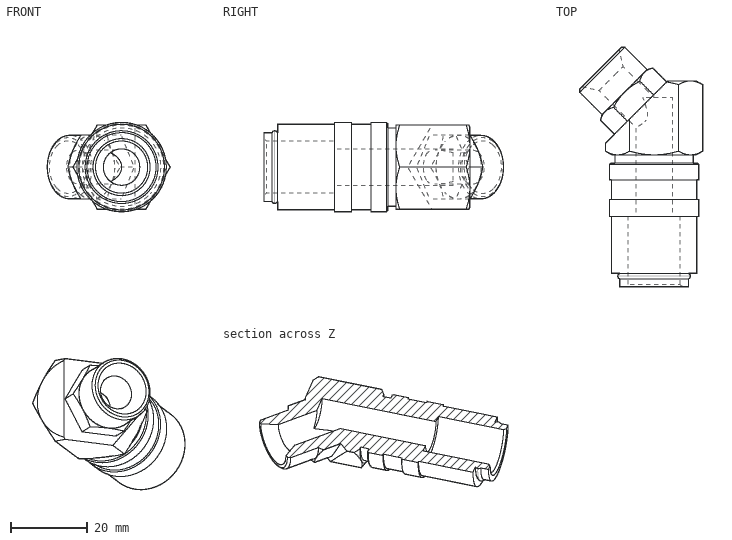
import cadquery as cq
import math

nose_radius = 9.05
ring_radius = 9.55
ring_section_radius = 0.75
sleeve_radius = 11.25
sleeve_start = 3.6
ring_y = sleeve_start - ring_section_radius
collar_radius = 11.75
front_collar_start = 18.45
front_collar_end = 23.0
rear_collar_start = 28.05
rear_collar_end = 32.45
collar_chamfer = 0.4
neck_radius = 10.3

hex_start = 34.6
hex_end = 54.0
hex_flats = 22.1

elbow_y = 43.3
branch_angle = 45
seat_distance = 5.0
branch_hex_end = 10.9
branch_hex_flats = 16.8
branch_end = 19.85
branch_radius = 8.35
branch_chamfer = 0.6

socket_bore_radius = 6.85
socket_bore_depth = front_collar_start
mouth_chamfer = 0.6
passage_radius = 4.8
passage_end = elbow_y + 6.3
branch_bore_radius = 4.45
cone_mouth_radius = 6.9
cone_depth = 3.9

corner_bevel_angle = 30


def cylinder(radius, start, end):
    """Cylinder along +Y between two stations."""
    return cq.Workplane("XZ", origin=(0, start, 0)).circle(radius).extrude(start - end)


def revolve_about_y(points):
    """Turn a closed (radius, Y) outline about the Y axis."""
    return cq.Workplane("XY").polyline(points).close().revolve(360, (0, 0, 0), (0, 1, 0))


def beveled_hex(flats, start, end, bevel_start):
    """Hexagon along +Y; its corners are turned off conically at the far end and, optionally, the near end."""
    apothem = flats / 2
    corner_radius = apothem / math.cos(math.pi / 6)
    bevel_length = (corner_radius - apothem) * math.tan(math.radians(corner_bevel_angle))
    prism = cq.Workplane("XZ", origin=(0, start, 0)).polygon(6, 2 * corner_radius).extrude(start - end)
    near_end = [(corner_radius, start)]
    if bevel_start:
        near_end = [(apothem, start), (corner_radius, start + bevel_length)]
    far_end = [(corner_radius, end - bevel_length), (apothem, end)]
    return prism.intersect(revolve_about_y([(0, start)] + near_end + far_end + [(0, end)]))


def along_branch(shape):
    """Move a shape from the Y axis onto the branch axis."""
    return shape.rotate((0, 0, 0), (0, 0, 1), branch_angle).translate((0, elbow_y, 0))


def make_socket():
    ring_section = cq.Workplane("XY").center(ring_radius - ring_section_radius, ring_y).circle(ring_section_radius)
    ring_axis_offset = ring_section_radius - ring_radius
    ring = ring_section.revolve(360, (ring_axis_offset, 0, 0), (ring_axis_offset, 1, 0))
    rear_collar = cylinder(collar_radius, rear_collar_start, rear_collar_end)
    rear_collar = rear_collar.faces(">Y").edges().chamfer(collar_chamfer)
    return (
        cylinder(nose_radius, 0, sleeve_start)
        .union(ring)
        .union(cylinder(sleeve_radius, sleeve_start, rear_collar_end - collar_chamfer))
        .union(cylinder(collar_radius, front_collar_start, front_collar_end))
        .union(rear_collar)
        .union(cylinder(neck_radius, rear_collar_end, hex_start))
    )


def make_elbow():
    """Main hexagon cut off square to the branch at the branch seat."""
    block = beveled_hex(hex_flats, hex_start, hex_end, True)
    reach = hex_end
    beyond_seat = cq.Workplane("XY").box(reach, reach, reach).translate((0, seat_distance + reach / 2, 0))
    return block.cut(along_branch(beyond_seat))


def make_branch():
    hexagon = beveled_hex(branch_hex_flats, seat_distance, branch_hex_end, False)
    stub = cylinder(branch_radius, seat_distance, branch_end).faces(">Y").edges().chamfer(branch_chamfer)
    return along_branch(hexagon.union(stub))


def make_socket_bore():
    return revolve_about_y([
        (0, 0),
        (socket_bore_radius + mouth_chamfer, 0),
        (socket_bore_radius, mouth_chamfer),
        (socket_bore_radius, socket_bore_depth),
        (passage_radius, socket_bore_depth),
        (passage_radius, passage_end),
        (0, passage_end),
    ])


def make_branch_bore():
    return along_branch(revolve_about_y([
        (0, 0),
        (branch_bore_radius, 0),
        (branch_bore_radius, branch_end - cone_depth),
        (cone_mouth_radius, branch_end),
        (0, branch_end),
    ]))


body = make_socket().union(make_elbow()).union(make_branch())
result = body.cut(make_socket_bore()).cut(make_branch_bore())